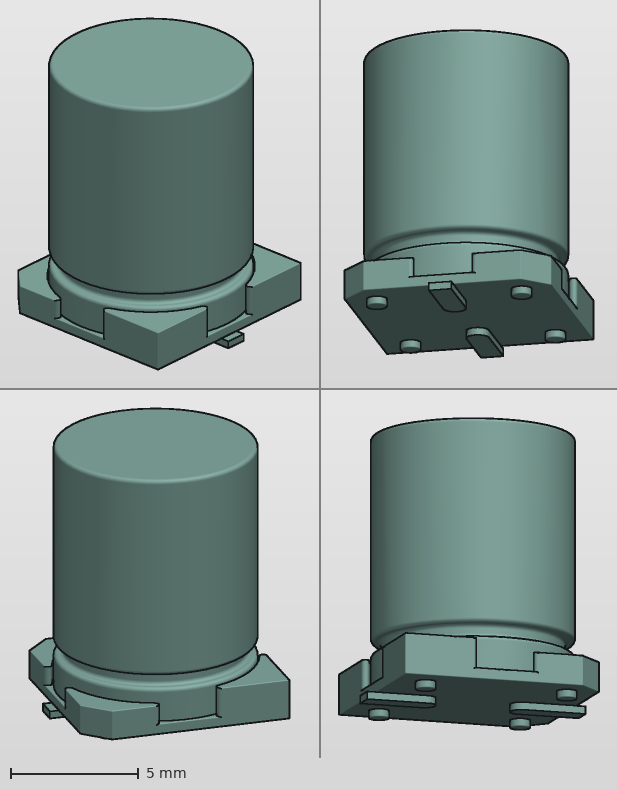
import cadquery as cq
import math

total_height = 10.8
lead_span = 9.0
base_side = 8.3

can_radius = 8.0 / 2
neck_radius = 7.2 / 2
can_edge_radius = 0.16
groove_bottom = 2.1
groove_width = 0.54

base_bottom = 0.3
floor_height = 0.73
low_corner_height = 1.51
high_corner_height = 1.93
corner_chamfer = 0.99
recess_radius = 4.06
notch_width = 2.38
tip_radius = 0.15
soft_edge_radius = 0.04

lead_width = 0.9
lead_round_center = 2.0
pin_diameter = 0.8
pin_offset = 2.9


def make_can():
    """Revolved can whose groove has rounded lips and rounded inner corners."""
    r = can_edge_radius
    diagonal = r * math.sqrt(0.5)
    groove_top = groove_bottom + groove_width
    lip_center = can_radius - r
    root_center = neck_radius + r
    profile = (
        cq.Workplane("XZ")
        .moveTo(0, base_bottom)
        .lineTo(can_radius, base_bottom)
        .lineTo(can_radius, groove_bottom - r)
        .threePointArc(
            (lip_center + diagonal, groove_bottom - r + diagonal), (lip_center, groove_bottom)
        )
        .lineTo(root_center, groove_bottom)
        .threePointArc(
            (root_center - diagonal, groove_bottom + r - diagonal), (neck_radius, groove_bottom + r)
        )
        .lineTo(neck_radius, groove_top - r)
        .threePointArc(
            (root_center - diagonal, groove_top - r + diagonal), (root_center, groove_top)
        )
        .lineTo(lip_center, groove_top)
        .threePointArc(
            (lip_center + diagonal, groove_top + r - diagonal), (can_radius, groove_top + r)
        )
        .lineTo(can_radius, total_height - r)
        .threePointArc(
            (lip_center + diagonal, total_height - r + diagonal), (lip_center, total_height)
        )
        .lineTo(0, total_height)
        .close()
    )
    return profile.revolve(360, (0, 0, 0), (0, 1, 0))


def base_block(top):
    """Square block up to the given height, with the two -X corners cut off and soft edges."""
    return (
        cq.Workplane("XY")
        .workplane(offset=base_bottom)
        .rect(base_side, base_side)
        .extrude(top - base_bottom)
        .edges("|Z and <X")
        .chamfer(corner_chamfer)
        .edges()
        .fillet(soft_edge_radius)
    )


def corner_column(x_side, y_side):
    """Upright column outside the round recess, with rounded tips where the notches begin."""
    half_notch = notch_width / 2
    size = base_side / 2 - half_notch
    center = half_notch + size / 2
    recess = cq.Workplane("XY").circle(recess_radius).extrude(high_corner_height)
    column = (
        cq.Workplane("XY")
        .center(x_side * center, y_side * center)
        .rect(size, size)
        .extrude(high_corner_height)
        .cut(recess)
    )
    outer_corner = cq.selectors.NearestToPointSelector(
        (x_side * base_side / 2, y_side * base_side / 2, high_corner_height / 2)
    )
    tips = column.edges("|Z").edges(cq.selectors.InverseSelector(outer_corner))
    return tips.fillet(tip_radius)


def make_base():
    """Base plate with four raised corners, two of them taller."""
    base = base_block(floor_height)
    for x_side, top in ((-1, low_corner_height), (1, high_corner_height)):
        for y_side in (-1, 1):
            base = base.union(base_block(top).intersect(corner_column(x_side, y_side)))
    return base


def make_lead(x_side):
    """Flat lead reaching out past the base, with a full round inner end."""
    length = lead_span / 2 - lead_round_center
    strip = (
        cq.Workplane("XY")
        .center(x_side * (lead_round_center + length / 2), 0)
        .rect(length, lead_width)
        .extrude(base_bottom)
    )
    round_end = (
        cq.Workplane("XY")
        .center(x_side * lead_round_center, 0)
        .circle(lead_width / 2)
        .extrude(base_bottom)
    )
    return strip.union(round_end)


def make_pins():
    """Four round standoff pins near the corners of the base, with softened feet."""
    return (
        cq.Workplane("XY")
        .rect(2 * pin_offset, 2 * pin_offset, forConstruction=True)
        .vertices()
        .circle(pin_diameter / 2)
        .extrude(base_bottom)
        .faces("<Z")
        .edges()
        .fillet(soft_edge_radius)
    )


result = make_can().union(make_base()).union(make_pins())
for side in (-1, 1):
    result = result.union(make_lead(side))